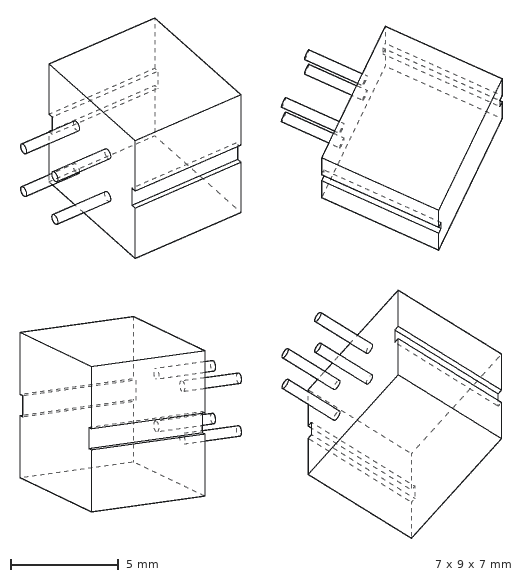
import cadquery as cq

total_length = 9.0
body_side = 7.0
pin_length = 3.0
pin_diameter = 0.5
pin_pitch = 2.54
groove_height = 1.02
groove_depth = 0.26

body_depth = total_length - pin_length


def make_body():
    """Square block with its pin face on the plane Y = 0."""
    return cq.Workplane("XY").box(body_side, body_depth, body_side, centered=(True, False, True))


def make_side_grooves():
    """Cutters for the full-depth grooves on the -X and +X faces."""
    return (
        cq.Workplane("XY")
        .pushPoints([(-body_side / 2, body_depth / 2), (body_side / 2, body_depth / 2)])
        .box(2 * groove_depth, body_depth, groove_height)
    )


def make_pins():
    """Two by two array of round pins pointing toward -Y."""
    return (
        cq.Workplane("XZ")
        .rarray(pin_pitch, pin_pitch, 2, 2)
        .circle(pin_diameter / 2)
        .extrude(pin_length)
    )


result = make_body().cut(make_side_grooves()).union(make_pins())